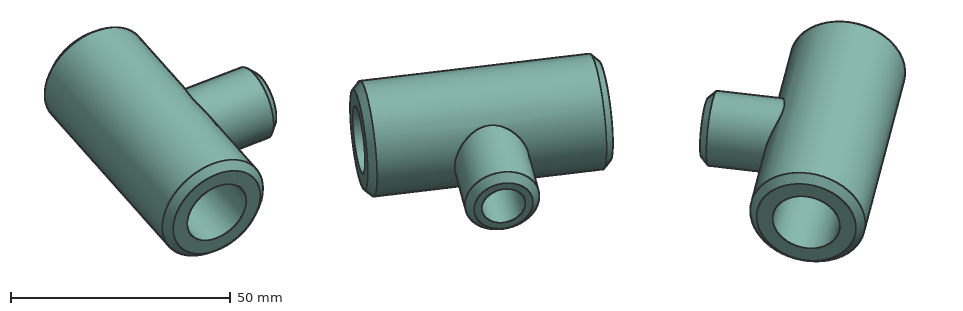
import cadquery as cq

run_length = 56.9
run_diameter = 26.7
run_bore = 15.6

branch_reach = run_length / 2
branch_diameter = 17.3
branch_bore = branch_diameter * run_bore / run_diameter

bevel = 1.8


def run_cylinder(diameter):
    """Cylinder along X over the full length of the run."""
    return cq.Workplane("YZ").circle(diameter / 2).extrude(run_length / 2, both=True)


def branch_cylinder(diameter):
    """Cylinder from the run axis out to the end of the branch."""
    return cq.Workplane("XZ").circle(diameter / 2).extrude(-branch_reach)


run = run_cylinder(run_diameter).faces("<X or >X").chamfer(bevel)
branch = branch_cylinder(branch_diameter).faces(">Y").chamfer(bevel)

result = (
    run.union(branch)
    .cut(run_cylinder(run_bore))
    .cut(branch_cylinder(branch_bore))
)